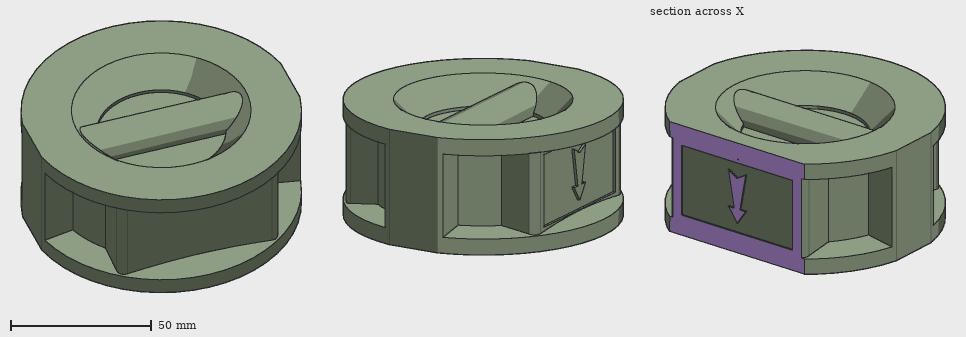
import cadquery as cq
import math

body_radius = 50.0
body_height = 43.0
width_across_flats = 98.0
top_z = body_height / 2

rim_thickness = 6.0
flange_draft_deg = 10.0
core_radius = 39.8

rib_width = 24.0

pad_face_x = 40.0
pad_width = 61.0
pad_corner_radius = 3.0

panel_width = 50.0
panel_height = 27.0
panel_depth = 1.0
arrow_height = 20.0
arrow_head_length = 5.7
arrow_head_half_width = 4.0
arrow_neck_half_width = 1.4
arrow_tail_notch = 2.3

mouth_radius = 32.0
seat_radius = 23.0
cone_depth = 9.6
seat_wall = 1.2
floor_z = top_z - cone_depth - seat_wall

bar_radius = 8.0
bar_axis_depth = 9.7
bar_axis_z = top_z - bar_axis_depth


def flanged_core():
    """Core with two flanges whose inner faces are conical, turned about Z."""
    rim_z = top_z - rim_thickness
    root_z = rim_z - (body_radius - core_radius) * math.tan(math.radians(flange_draft_deg))
    profile = [
        (0, -top_z),
        (body_radius, -top_z),
        (body_radius, -rim_z),
        (core_radius, -root_z),
        (core_radius, root_z),
        (body_radius, rim_z),
        (body_radius, top_z),
        (0, top_z),
    ]
    return cq.Workplane("XZ").polyline(profile).close().revolve(360, (0, 0), (0, 1))


def side_pads():
    """Block with rounded upright corners that forms both side pads."""
    block = cq.Workplane("XY").box(2 * pad_face_x, pad_width, body_height - 2 * rim_thickness)
    return block.edges("|Z").fillet(pad_corner_radius)


def ribs():
    """Wall through the body that forms both full-height ribs."""
    cylinder = cq.Workplane("XY").cylinder(body_height, body_radius)
    return cylinder.intersect(cq.Workplane("XY").box(rib_width, width_across_flats, body_height))


def seat_cutter():
    """Cone and short straight wall down to the seat floor."""
    profile = [
        (0, top_z),
        (mouth_radius, top_z),
        (seat_radius, top_z - cone_depth),
        (seat_radius, floor_z),
        (0, floor_z),
    ]
    return cq.Workplane("XZ").polyline(profile).close().revolve(360, (0, 0), (0, 1))


def hinge_bar():
    """Round bar whose ends are buried in the conical mouth."""
    start = cq.Workplane("XZ", origin=(0, mouth_radius, bar_axis_z))
    return start.circle(bar_radius).extrude(2 * mouth_radius)


def label_panel_cutter():
    """Panel recess less the arrow, which stays level with the pad face."""
    tail_z = arrow_height / 2
    tip_z = -tail_z
    head_z = tip_z + arrow_head_length
    arrow = [
        (0, tip_z),
        (arrow_head_half_width, head_z),
        (arrow_neck_half_width, head_z),
        (arrow_head_half_width, tail_z),
        (0, tail_z - arrow_tail_notch),
        (-arrow_head_half_width, tail_z),
        (-arrow_neck_half_width, head_z),
        (-arrow_head_half_width, head_z),
    ]
    face = cq.Workplane("YZ", origin=(-pad_face_x, 0, 0))
    panel = face.rect(panel_width, panel_height).extrude(panel_depth)
    return panel.cut(face.polyline(arrow).close().extrude(panel_depth))


body = flanged_core().union(side_pads()).union(ribs())
body = body.intersect(cq.Workplane("XY").box(2 * body_radius, width_across_flats, body_height))
body = body.cut(label_panel_cutter())

result = body.cut(seat_cutter().cut(hinge_bar()))